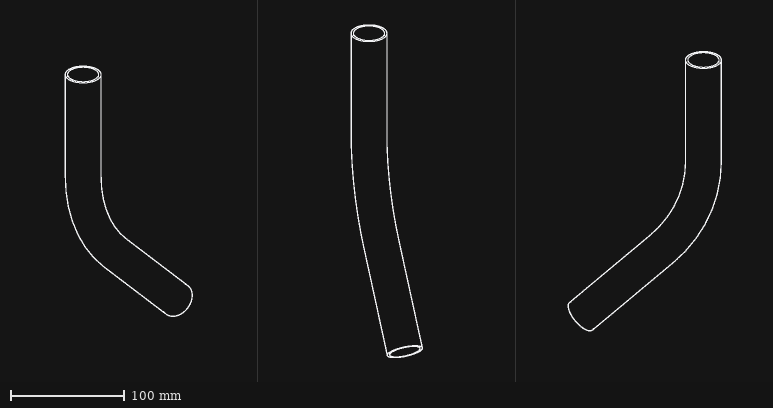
import cadquery as cq
import math

outer_diameter = 31.8
inner_diameter = 27.5
leg_length = 101.5
bend_radius = 127.0
bend_angle = math.radians(45)


def bend_point(angle):
    """Centreline (Y, Z) after turning by angle from the vertical leg."""
    return (
        bend_radius * (1 - math.cos(angle)),
        -leg_length - bend_radius * math.sin(angle),
    )


bend_end_y, bend_end_z = bend_point(bend_angle)
lower_end = (
    bend_end_y + leg_length * math.sin(bend_angle),
    bend_end_z - leg_length * math.cos(bend_angle),
)
centreline = (
    cq.Workplane("YZ")
    .lineTo(0, -leg_length)
    .threePointArc(bend_point(bend_angle / 2), (bend_end_y, bend_end_z))
    .lineTo(*lower_end)
)

result = (
    cq.Workplane("XY")
    .circle(outer_diameter / 2)
    .circle(inner_diameter / 2)
    .sweep(centreline)
)